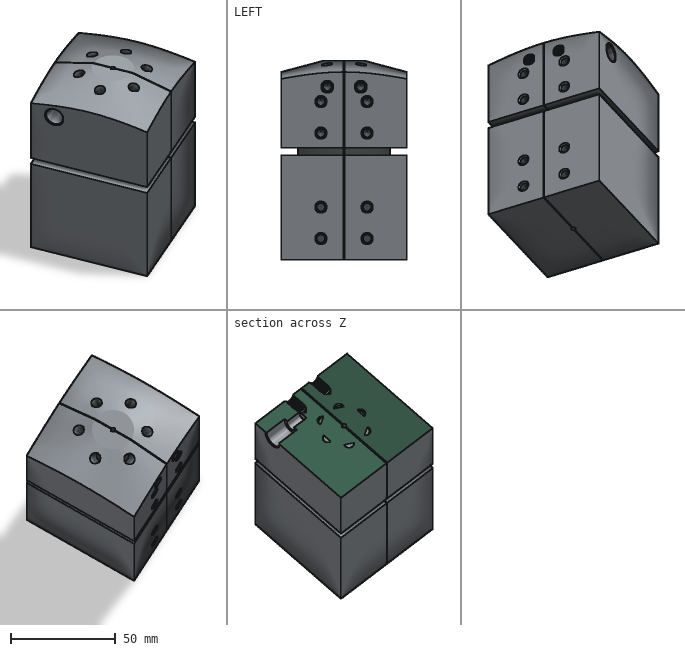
import cadquery as cq
import math

SIDE = 60.0
HEIGHT = 95.0
SPLIT_GAP = 0.4

NECK_DIAMETER = 44.0
NECK_BOTTOM = 50.0
NECK_TOP = 53.5

CROWN_FLAT_DIAMETER = 20.0
CROWN_SLOPE = 15.0

BORE_DIAMETER = 2.1

CROWN_HOLE_COUNT = 6
CROWN_HOLE_FIRST_ANGLE = 30.0
CROWN_HOLE_DIAMETER = 5.0
CROWN_HOLE_CIRCLE_RADIUS = 16.3
CROWN_HOLE_TILT = 30.0
CROWN_HOLE_DEPTH = 12.0
CROWN_HOLE_LEAD = CROWN_HOLE_DIAMETER

PORT_X = -18.0
PORT_Z = 81.5
PORT_DIAMETER = 8.6
PORT_DEPTH = 12.0
PORT_CHAMFER = 0.5
PORT_CHANNEL_DIAMETER = 5.0
PORT_CHANNEL_DEPTH = 20.0

SCREW_HOLE_DIAMETER = 4.0
SCREW_HOLE_Y = 11.0
SCREW_HOLE_DEPTH = 10.0
SCREW_HOLE_CHAMFER = 0.8
FLAT_HOLE_HEIGHTS = (10.2, 25.2)
POINTED_HOLE_HEIGHTS = (60.5, 75.5)
DRILL_POINT_ANGLE = 90.0

THREAD_HOLE_Y = 8.0
THREAD_HOLE_Z = 82.6
THREAD_HOLE_DEPTH = 10.0
THREAD_HOLE_CHAMFER = 0.95
THREAD_MINOR_DIAMETER = 4.0
THREAD_MAJOR_DIAMETER = 5.0
THREAD_PITCH = 0.8
THREAD_TURNS = 11
THREAD_FLANK_ANGLE = 60.0
THREAD_OVERLAP = 0.1

HALF_SIDE = SIDE / 2


def drill(mouth, direction, diameter, depth, chamfer=0.0, point_angle=None):
    """Round cutter from its mouth along a direction, with optional mouth chamfer and drill point."""
    radius = diameter / 2
    profile = cq.Workplane("XZ").lineTo(radius + chamfer, 0)
    if chamfer:
        profile = profile.lineTo(radius, chamfer)
    profile = profile.lineTo(radius, depth)
    point_length = 0.0
    if point_angle:
        point_length = radius / math.tan(math.radians(point_angle / 2))
    profile = profile.lineTo(0, depth + point_length).close()
    cutter = profile.revolve(360, (0, 0, 0), (0, 1, 0)).val()
    return cutter.moved(cq.Plane(origin=mouth, normal=direction).location)


def make_block():
    """Square block with the neck groove, the conical crown and the axial bore."""
    block = cq.Workplane("XY").rect(SIDE, SIDE).extrude(HEIGHT)
    groove = (
        cq.Workplane("XY", origin=(0, 0, NECK_BOTTOM))
        .rect(2 * SIDE, 2 * SIDE)
        .circle(NECK_DIAMETER / 2)
        .extrude(NECK_TOP - NECK_BOTTOM)
    )
    flat_radius = CROWN_FLAT_DIAMETER / 2
    base_radius = SIDE
    crown_drop = (base_radius - flat_radius) * math.tan(math.radians(CROWN_SLOPE))
    crown_envelope = (
        cq.Workplane("XZ")
        .moveTo(0, 0)
        .lineTo(base_radius, 0)
        .lineTo(base_radius, HEIGHT - crown_drop)
        .lineTo(flat_radius, HEIGHT)
        .lineTo(0, HEIGHT)
        .close()
        .revolve(360, (0, 0, 0), (0, 1, 0))
    )
    bore = cq.Workplane("XY").circle(BORE_DIAMETER / 2).extrude(HEIGHT)
    return block.cut(groove).intersect(crown_envelope).cut(bore)


def cut_crown_holes(block):
    tilt = math.radians(CROWN_HOLE_TILT)
    crown_slope = math.tan(math.radians(CROWN_SLOPE))
    mouth_z = HEIGHT - (CROWN_HOLE_CIRCLE_RADIUS - CROWN_FLAT_DIAMETER / 2) * crown_slope
    for index in range(CROWN_HOLE_COUNT):
        angle = math.radians(CROWN_HOLE_FIRST_ANGLE + index * 360 / CROWN_HOLE_COUNT)
        radial_x = math.cos(angle)
        radial_y = math.sin(angle)
        mouth = (CROWN_HOLE_CIRCLE_RADIUS * radial_x, CROWN_HOLE_CIRCLE_RADIUS * radial_y, mouth_z)
        direction = (-math.sin(tilt) * radial_x, -math.sin(tilt) * radial_y, -math.cos(tilt))
        outside = tuple(place - CROWN_HOLE_LEAD * step for place, step in zip(mouth, direction))
        cutter_length = CROWN_HOLE_LEAD + CROWN_HOLE_DEPTH
        block = block.cut(drill(outside, direction, CROWN_HOLE_DIAMETER, cutter_length))
    return block


def cut_port(block):
    mouth = (PORT_X, -HALF_SIDE, PORT_Z)
    inward = (0, 1, 0)
    block = block.cut(drill(mouth, inward, PORT_CHANNEL_DIAMETER, PORT_CHANNEL_DEPTH))
    return block.cut(drill(mouth, inward, PORT_DIAMETER, PORT_DEPTH, PORT_CHAMFER))


def cut_screw_hole(block, side, height, point_angle=None):
    mouth = (-HALF_SIDE, side * SCREW_HOLE_Y, height)
    hole = drill(
        mouth,
        (1, 0, 0),
        SCREW_HOLE_DIAMETER,
        SCREW_HOLE_DEPTH,
        SCREW_HOLE_CHAMFER,
        point_angle,
    )
    return block.cut(hole)


def cut_side_holes(block):
    for side in (-1, 1):
        for height in FLAT_HOLE_HEIGHTS:
            block = cut_screw_hole(block, side, height)
        for height in POINTED_HOLE_HEIGHTS:
            block = cut_screw_hole(block, side, height, DRILL_POINT_ANGLE)
    return block


def make_thread_cutter(mouth):
    """Helical V groove running along +X from the mouth, reaching slightly inside the minor diameter."""
    inner_radius = THREAD_MINOR_DIAMETER / 2 - THREAD_OVERLAP
    root_radius = THREAD_MAJOR_DIAMETER / 2
    half_width = (root_radius - inner_radius) * math.tan(math.radians(THREAD_FLANK_ANGLE / 2))
    helix = cq.Wire.makeHelix(THREAD_PITCH, THREAD_TURNS * THREAD_PITCH, inner_radius)
    groove = (
        cq.Workplane("XZ")
        .moveTo(inner_radius, -half_width)
        .lineTo(root_radius, 0)
        .lineTo(inner_radius, half_width)
        .close()
        .sweep(cq.Workplane(obj=helix), isFrenet=True)
    )
    return groove.val().moved(cq.Plane(origin=mouth, normal=(1, 0, 0)).location)


def cut_thread_holes(block):
    for side in (-1, 1):
        mouth = (-HALF_SIDE, side * THREAD_HOLE_Y, THREAD_HOLE_Z)
        hole = drill(
            mouth, (1, 0, 0), THREAD_MINOR_DIAMETER, THREAD_HOLE_DEPTH, THREAD_HOLE_CHAMFER, DRILL_POINT_ANGLE
        )
        block = block.cut(hole).cut(make_thread_cutter(mouth))
    return block


def make_half(block, side):
    """Part of the block on one side of the parting gap."""
    parting_y = side * SPLIT_GAP / 2
    half_width = HALF_SIDE - SPLIT_GAP / 2
    centre_y = parting_y + side * half_width / 2
    keep = cq.Workplane("XY", origin=(0, centre_y, 0)).rect(SIDE, half_width).extrude(HEIGHT)
    return block.intersect(keep)


full_block = make_block()
full_block = cut_crown_holes(full_block)
full_block = cut_port(full_block)
full_block = cut_side_holes(full_block)
full_block = cut_thread_holes(full_block)
front_half = make_half(full_block, -1)
back_half = make_half(full_block, 1)
result = cq.Compound.makeCompound([front_half.val(), back_half.val()])